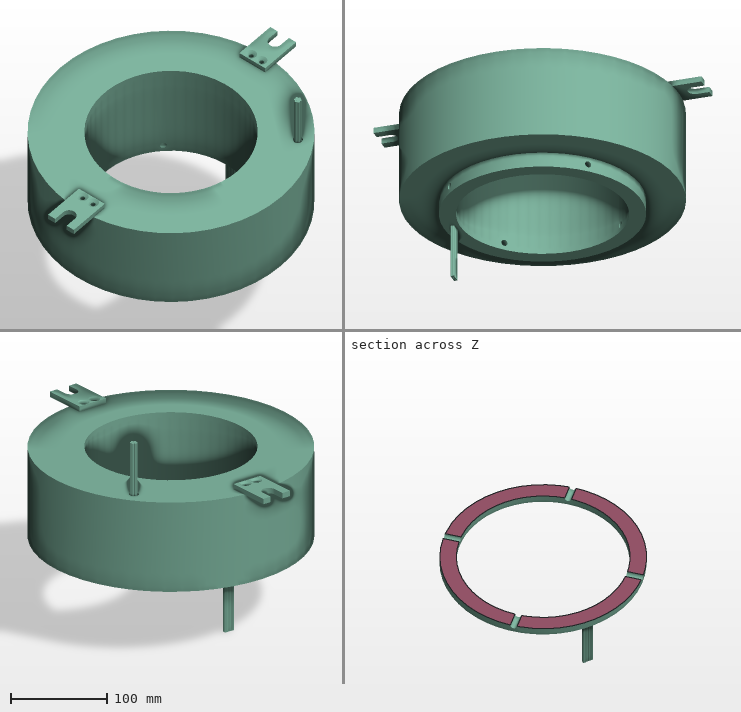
import cadquery as cq
import math

total_height = 234.0
body_height = 100.8
flange_height = 16.2
round_cable_height = 58.5
body_radius = 149.0
flange_radius = 107.5
bore_radius = 90.0
body_top = total_height / 2 - round_cable_height
body_bottom = body_top - body_height
flange_bottom = body_bottom - flange_height

outer_wall = 4.0
inner_wall = 5.0
filling_depth = body_height - outer_wall

radial_hole_diameter = 7.0
radial_hole_angles = (45, 135, 225, 315)

plate_reach = 180.0
plate_length = 50.0
plate_width = 35.0
plate_thickness = 6.0
plate_offset_x = 1.5
slot_width = 15.5
slot_depth = 21.0

screw_spacing = 14.0
screw_edge_distance = 6.5
countersink_diameter = 12.2
countersink_depth = 2.5
screw_hole_diameter = 5.0
screw_hole_depth = 10.8

cable_angle = 35
cable_circle_radius = 132.0
cable_hole_diameter = 10.5
cable_hole_depth = 3.5
cable_ring_radius = 2.7
cable_wire_diameter = 3.0
cable_ring_count = 6
cable_ring_start_angle = 90

flat_cable_y = 97.2
flat_wire_diameter = 2.0
flat_wire_pitch = 1.98
flat_columns = 6
flat_rows = 2

overlap = 1.8


def cylinder(radius, bottom, top):
    return cq.Workplane("XY").workplane(offset=bottom).circle(radius).extrude(top - bottom)


def make_housing():
    housing = cylinder(body_radius, body_bottom, body_top)
    housing = housing.union(cylinder(flange_radius, flange_bottom, body_bottom))
    housing = housing.cut(cylinder(bore_radius, flange_bottom, body_top))
    filling = cylinder(body_radius - outer_wall, body_top - filling_depth, body_top)
    filling = filling.cut(cylinder(bore_radius + inner_wall, body_top - filling_depth, body_top))
    return housing.cut(filling).union(filling, clean=False)


def make_radial_hole(angle):
    hole = (
        cq.Workplane("YZ")
        .center(0, (body_bottom + flange_bottom) / 2)
        .circle(radial_hole_diameter / 2)
        .extrude(flange_radius + overlap)
    )
    return hole.rotate((0, 0, 0), (0, 0, 1), angle)


def make_plate(side):
    """Plate on the +Y (side = 1) or -Y (side = -1) edge, its fork pointing outwards."""
    plate = (
        cq.Workplane("XY")
        .workplane(offset=body_top)
        .center(plate_offset_x, side * (plate_reach - plate_length / 2))
        .rect(plate_width, plate_length)
        .extrude(plate_thickness)
    )
    slot = (
        cq.Workplane("XY")
        .workplane(offset=body_top)
        .center(plate_offset_x, side * plate_reach)
        .slot2D(2 * slot_depth, slot_width, 90)
        .extrude(plate_thickness)
    )
    return plate.cut(slot)


def make_screw_hole(x, y):
    """Countersink, straight bore and a 45 degree drill point."""
    bore_r = screw_hole_diameter / 2
    sink_r = countersink_diameter / 2
    profile = [
        (0, 0),
        (sink_r, 0),
        (bore_r, -countersink_depth),
        (bore_r, bore_r - screw_hole_depth),
        (0, -screw_hole_depth),
    ]
    hole = cq.Workplane("XZ").polyline(profile).close().revolve(360, (0, 0), (0, 1))
    return hole.translate((x, y, body_top + plate_thickness))


def make_round_cable():
    bottom = body_top - cable_hole_depth - overlap
    core = cylinder(cable_wire_diameter / 2, bottom, total_height / 2)
    cable = core
    for i in range(cable_ring_count):
        angle = math.radians(cable_ring_start_angle + 360 * i / cable_ring_count)
        x = cable_ring_radius * math.cos(angle)
        y = cable_ring_radius * math.sin(angle)
        cable = cable.union(core.translate((x, y, 0)))
    return cable


def make_flat_cable():
    wire = cylinder(flat_wire_diameter / 2, -total_height / 2, flange_bottom + overlap)
    cable = cq.Workplane("XY")
    for column in range(flat_columns):
        for row in range(flat_rows):
            x = (column - (flat_columns - 1) / 2) * flat_wire_pitch
            y = flat_cable_y + (row - (flat_rows - 1) / 2) * flat_wire_pitch
            cable = cable.union(wire.translate((x, y, 0)))
    return cable


result = make_housing()

for angle in radial_hole_angles:
    result = result.cut(make_radial_hole(angle), clean=False)

for side in (1, -1):
    result = result.union(make_plate(side), clean=False)
    screw_y = side * (plate_reach - plate_length + screw_edge_distance)
    for direction in (-1, 1):
        screw_x = plate_offset_x + direction * screw_spacing / 2
        result = result.cut(make_screw_hole(screw_x, screw_y), clean=False)

cable_x = cable_circle_radius * math.cos(math.radians(cable_angle))
cable_y = cable_circle_radius * math.sin(math.radians(cable_angle))
cable_hole = cylinder(cable_hole_diameter / 2, body_top - cable_hole_depth, body_top)
result = result.cut(cable_hole.translate((cable_x, cable_y, 0)), clean=False)
result = result.union(make_round_cable().translate((cable_x, cable_y, 0)), clean=False)
result = result.union(make_flat_cable(), clean=False)